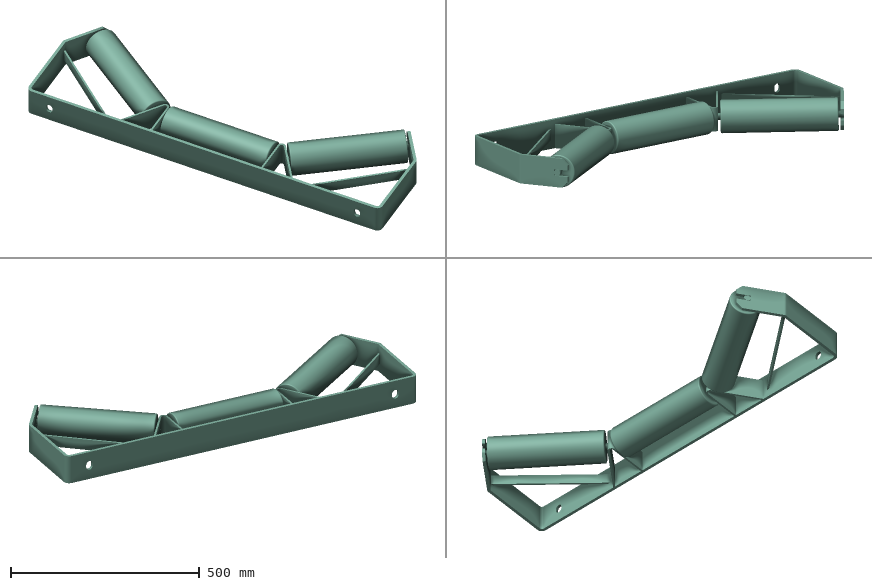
import cadquery as cq
import math


FRAME_LENGTH = 1050.0
FRAME_WIDTH = 80.0
FRAME_THICKNESS = 8.0
BASE_BEND_RADIUS = 16.0
ARM_BEND_RADIUS = 10.0
SIDE_HEIGHT = 217.0
ARM_LENGTH = 134.0
ARM_CORNER_CHAMFER = 17.0
MOUNT_SPACING = 914.0
MOUNT_SLOT_LENGTH = 25.0
MOUNT_SLOT_WIDTH = 19.0

BRACKET_WIDTH = 66.0
BRACKET_THICKNESS = 5.0
BRACKET_BEND_RADIUS = 12.0
BRACKET_TOP = 130.0
BRACKET_FACE_X = 162.0

BRACE_WIDTH = 30.0
BRACE_THICKNESS = 5.0
BRACE_FOOT_X = 280.0
BRACE_TOP_Y = 208.0

ROLLER_DIAMETER = 89.0
ROLLER_LENGTH = 313.0
RIM_RADIUS = 3.0
SHAFT_DIAMETER = 18.0
CENTRE_ROLLER_Y = 101.0
WING_ROLLER_X = 325.0
WING_ROLLER_Y = 205.0
TROUGH_ANGLE = 35.0

TROUGH = math.radians(TROUGH_ANGLE)
COS_TROUGH = math.cos(TROUGH)
SIN_TROUGH = math.sin(TROUGH)
FRAME_MID_Z = FRAME_WIDTH / 2
BRACKET_MID_Z = BRACKET_WIDTH / 2
FRAME_INNER_X = FRAME_LENGTH / 2 - FRAME_THICKNESS

ARM_OUTER_REACH = FRAME_LENGTH / 2 * COS_TROUGH + SIDE_HEIGHT * SIN_TROUGH
BRACKET_BEND_X = BRACKET_FACE_X + BRACKET_BEND_RADIUS
BRACKET_BEND_Y = BRACKET_TOP - BRACKET_BEND_RADIUS
BRACKET_OUTER_REACH = BRACKET_BEND_X * COS_TROUGH + BRACKET_BEND_Y * SIN_TROUGH + BRACKET_BEND_RADIUS
BRACKET_INNER_REACH = BRACKET_OUTER_REACH - BRACKET_THICKNESS
WING_REACH = WING_ROLLER_X * COS_TROUGH + WING_ROLLER_Y * SIN_TROUGH

TILT = math.atan2(FRAME_MID_Z - BRACKET_MID_Z, ARM_OUTER_REACH - BRACKET_OUTER_REACH)
WING_ROLLER_Z = BRACKET_MID_Z + (WING_REACH - BRACKET_OUTER_REACH) * math.tan(TILT)

CENTRE_PLANE = cq.Plane(origin=(0, CENTRE_ROLLER_Y, BRACKET_MID_Z), xDir=(0, 0, 1), normal=(1, 0, 0))
WING_PLANE = cq.Plane(
    origin=(WING_ROLLER_X, WING_ROLLER_Y, WING_ROLLER_Z),
    xDir=(-SIN_TROUGH, COS_TROUGH, 0),
    normal=(COS_TROUGH * math.cos(TILT), SIN_TROUGH * math.cos(TILT), math.sin(TILT)),
)


def mirrored(body):
    """Copy of a right-hand body on the left-hand side."""
    return body.mirror("YZ")


def region(points, width):
    """Prism over an XY outline, from Z = 0 up to the given width."""
    return cq.Workplane("XY").polyline(points).close().extrude(width)


def rounded(prism, corner, radius, width):
    """Round the upright edge of a prism that stands at the given XY corner."""
    edge = cq.selectors.NearestToPointSelector((*corner, width / 2))
    return prism.edges("|Z").edges(edge).fillet(radius)


def wing_shaft():
    """Right wing shaft, ending flush with the arm and with the sloping bracket leg."""
    start = (BRACKET_INNER_REACH - WING_REACH) / math.cos(TILT)
    end = (ARM_OUTER_REACH - WING_REACH) / math.cos(TILT)
    plane = cq.Workplane(WING_PLANE).workplane(offset=start)
    return plane.circle(SHAFT_DIAMETER / 2).extrude(end - start)


def centre_shaft():
    """Centre shaft, ending flush with the far faces of both upright bracket legs."""
    half_length = BRACKET_FACE_X + BRACKET_THICKNESS
    plane = cq.Workplane(CENTRE_PLANE).workplane(offset=-half_length)
    return plane.circle(SHAFT_DIAMETER / 2).extrude(2 * half_length)


def roller(plane, shaft):
    """Drum with rounded rims, in one piece with its shaft."""
    drum = cq.Workplane(plane).workplane(offset=-ROLLER_LENGTH / 2)
    drum = drum.circle(ROLLER_DIAMETER / 2).extrude(ROLLER_LENGTH)
    return drum.edges("%CIRCLE").fillet(RIM_RADIUS).union(shaft)


def frame_half_outline(inset):
    """Corners of the right half of the strap, moved inwards by the inset."""
    x = FRAME_LENGTH / 2 - inset
    bend_y = SIDE_HEIGHT - inset * math.tan(TROUGH / 2)
    end_x = FRAME_LENGTH / 2 - ARM_LENGTH * SIN_TROUGH - inset * COS_TROUGH
    end_y = SIDE_HEIGHT + ARM_LENGTH * COS_TROUGH - inset * SIN_TROUGH
    return [(0, inset), (x, inset), (x, bend_y), (end_x, end_y)]


def arm_slot():
    """Flat-bottomed slot for the wing shaft, open at the end of the arm."""
    length = ARM_LENGTH
    slot = cq.Workplane(WING_PLANE).workplane(offset=ROLLER_LENGTH / 2)
    slot = slot.center((length - SHAFT_DIAMETER) / 2, 0).rect(length, SHAFT_DIAMETER)
    return slot.extrude(ROLLER_LENGTH / 2)


def frame():
    """Strap frame with rounded bends, mounting slots and open shaft slots."""
    outer = frame_half_outline(0)
    inner = frame_half_outline(FRAME_THICKNESS)
    half = region(outer + inner[::-1], FRAME_WIDTH)
    for bend, radius in ((1, BASE_BEND_RADIUS), (2, ARM_BEND_RADIUS)):
        half = rounded(half, outer[bend], radius, FRAME_WIDTH)
        half = rounded(half, inner[bend], radius - FRAME_THICKNESS, FRAME_WIDTH)

    end_x, end_y = outer[-1]
    for z in (0, FRAME_WIDTH):
        corner = cq.selectors.NearestToPointSelector((end_x, end_y, z))
        across = half.edges(cq.selectors.ParallelDirSelector(cq.Vector(COS_TROUGH, SIN_TROUGH, 0)))
        half = across.edges(corner).chamfer(ARM_CORNER_CHAMFER)

    mount = cq.Workplane("XZ").center(MOUNT_SPACING / 2, FRAME_MID_Z)
    mount = mount.slot2D(MOUNT_SLOT_LENGTH, MOUNT_SLOT_WIDTH, 90).extrude(-FRAME_THICKNESS)
    half = half.cut(mount).cut(arm_slot())
    return half.union(mirrored(half))


def bracket_side(inset):
    """Corners of one side of the bracket strip: upright foot, top corner and sloping foot."""
    x = BRACKET_FACE_X + inset
    reach = BRACKET_OUTER_REACH - inset
    corner_y = (reach - x * COS_TROUGH) / SIN_TROUGH
    foot_x = (reach - FRAME_THICKNESS * SIN_TROUGH) / COS_TROUGH
    return [(x, FRAME_THICKNESS), (x, corner_y), (foot_x, FRAME_THICKNESS)]


def bracket():
    """Right bracket: an upright and a sloping leg joined by a round bend, bored for two shafts."""
    outer = bracket_side(0)
    inner = bracket_side(BRACKET_THICKNESS)
    strip = region(outer + inner[::-1], BRACKET_WIDTH)
    strip = rounded(strip, outer[1], BRACKET_BEND_RADIUS, BRACKET_WIDTH)
    strip = rounded(strip, inner[1], BRACKET_BEND_RADIUS - BRACKET_THICKNESS, BRACKET_WIDTH)
    return strip.cut(centre_shaft()).cut(wing_shaft())


def brace():
    """Right diagonal brace, cut to fit against the base and the upright."""
    rise = BRACE_TOP_Y - FRAME_THICKNESS
    run = FRAME_INNER_X - BRACE_FOOT_X
    slope = math.atan2(rise, run)
    half_foot = BRACE_THICKNESS / math.sin(slope) / 2
    half_top = BRACE_THICKNESS / math.cos(slope) / 2
    points = [
        (BRACE_FOOT_X - half_foot, FRAME_THICKNESS),
        (BRACE_FOOT_X + half_foot, FRAME_THICKNESS),
        (FRAME_INNER_X, BRACE_TOP_Y - half_top),
        (FRAME_INNER_X, BRACE_TOP_Y + half_top),
    ]
    return region(points, BRACE_WIDTH).translate((0, 0, (FRAME_WIDTH - BRACE_WIDTH) / 2))


right_bracket = bracket()
right_brace = brace()
right_roller = roller(WING_PLANE, wing_shaft())
centre_roller = roller(CENTRE_PLANE, centre_shaft())

bodies = [frame(), centre_roller]
for right_body in (right_bracket, right_brace, right_roller):
    bodies += [right_body, mirrored(right_body)]

result = cq.Compound.makeCompound([body.val() for body in bodies])